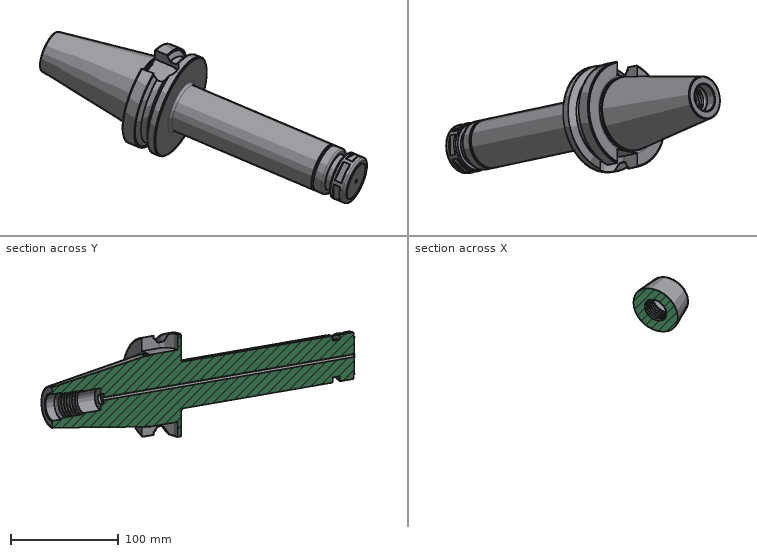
import cadquery as cq


gauge_x = 101.5
gauge_radius = 35.0
taper_ratio = 7 / 24
taper_end_radius = gauge_radius - gauge_x * taper_ratio / 2
taper_chamfer = 0.5
relief_start = 102.3
relief_radius = 34.3
undercut_start = 103.5
undercut_radius = 37.3
undercut_depth = 0.5

flange_radius = 50.0
flange_start = 104.5
flange_end = 140.0
flange_chamfer = 1.0
groove_start = 117.5
groove_end = 132.0
groove_floor_start = 121.2
groove_floor_end = 127.8
groove_floor_radius = 42.8
groove_shoulder_radius = 48.0
groove_floor_rise = 0.5

keyway_width = 25.8
keyway_end = 135.5
keyway_floor = 35.3

shank_radius = 46.0 / 2
shank_end = 303.5
shank_root_fillet = 2.5
shank_end_fillet = 2.0
ring_start = 291.5
ring_width = 2.0
ring_depth = 0.3

neck_radius = 36 / 2
nut_start = 310.5
nut_face = 326.0
nut_chamfer = 1.3
nut_fillet = 2.0
total_length = 326.8
flat_count = 6
flat_start = 314.5
flat_end = 321.2
flat_distance = 21.0

pilot_radius = 25.5 / 2
pilot_depth = 10.0
pilot_chamfer = 0.5
thread_start = 11.5
thread_radius = 24.0 / 2
thread_core_radius = 21.0 / 2
thread_pitch = 3.0
thread_count = 8
bore_depth = 52.3
coolant_recess_radius = 9.0 / 2
coolant_recess_depth = 3.3
coolant_radius = 2.5 / 2


def make_body():
    """Turned outline of taper, flange, shank, neck and nut."""
    profile = (
        cq.Workplane("XY")
        .moveTo(0, 0)
        .lineTo(0, taper_end_radius - taper_chamfer)
        .lineTo(taper_chamfer, taper_end_radius)
        .lineTo(gauge_x, gauge_radius)
        .lineTo(relief_start, relief_radius)
        .lineTo(undercut_start, relief_radius)
        .lineTo(flange_start + undercut_depth, gauge_radius)
        .lineTo(flange_start, undercut_radius)
        .lineTo(flange_start, flange_radius - flange_chamfer)
        .lineTo(flange_start + flange_chamfer, flange_radius)
        .lineTo(groove_start, flange_radius)
        .lineTo(groove_start, groove_shoulder_radius)
        .lineTo(groove_floor_start, groove_floor_radius + groove_floor_rise)
        .threePointArc(
            ((groove_floor_start + groove_floor_end) / 2, groove_floor_radius),
            (groove_floor_end, groove_floor_radius + groove_floor_rise),
        )
        .lineTo(groove_end, flange_radius)
        .lineTo(flange_end - flange_chamfer, flange_radius)
        .lineTo(flange_end, flange_radius - flange_chamfer)
        .lineTo(flange_end, shank_radius + shank_root_fillet)
        .radiusArc((flange_end + shank_root_fillet, shank_radius), -shank_root_fillet)
        .lineTo(ring_start, shank_radius)
        .lineTo(ring_start, shank_radius - ring_depth)
        .lineTo(ring_start + ring_width, shank_radius - ring_depth)
        .lineTo(ring_start + ring_width, shank_radius)
        .lineTo(shank_end - shank_end_fillet, shank_radius)
        .radiusArc((shank_end, shank_radius - shank_end_fillet), shank_end_fillet)
        .lineTo(shank_end, neck_radius)
        .lineTo(nut_start, neck_radius)
        .lineTo(nut_start, shank_radius - nut_chamfer)
        .lineTo(nut_start + nut_chamfer, shank_radius)
        .lineTo(nut_face - nut_fillet, shank_radius)
        .radiusArc((nut_face, shank_radius - nut_fillet), nut_fillet)
        .lineTo(nut_face, neck_radius)
        .lineTo(total_length, neck_radius)
        .lineTo(total_length, 0)
        .close()
    )
    return profile.revolve(360, (0, 0, 0), (1, 0, 0))


def make_keyway():
    """Round-ended drive slot on the +Z side, open towards the taper."""
    end_center = keyway_end - keyway_width / 2
    height = flange_radius - keyway_floor
    slot = (
        cq.Workplane("XY")
        .box(end_center - gauge_x, keyway_width, height, centered=(False, True, False))
        .translate((gauge_x, 0, keyway_floor))
    )
    round_end = (
        cq.Workplane("XY", origin=(end_center, 0, keyway_floor))
        .circle(keyway_width / 2)
        .extrude(height)
    )
    return slot.union(round_end)


def make_nut_flat():
    """Wrench flat on the -Y side of the nut."""
    return (
        cq.Workplane("XY")
        .box(flat_end - flat_start, shank_radius, 2 * shank_radius, centered=(False, False, True))
        .translate((flat_start, -flat_distance - shank_radius, 0))
    )


def bore(radius, start, depth):
    """Round cut on the axis, running in +X."""
    return cq.Workplane("YZ", origin=(start, 0, 0)).circle(radius).extrude(depth)


def make_drawbar_bore():
    """Chamfered pilot, thread as separate V-shaped rings, and coolant hole."""
    profile = (
        cq.Workplane("XY")
        .moveTo(0, 0)
        .lineTo(0, pilot_radius + pilot_chamfer)
        .lineTo(pilot_chamfer, pilot_radius)
        .lineTo(pilot_depth, pilot_radius)
    )
    for i in range(thread_count):
        root_x = thread_start + i * thread_pitch
        profile = profile.lineTo(root_x, thread_radius)
        profile = profile.lineTo(root_x + thread_pitch / 2, thread_core_radius)
    threaded_bore = (
        profile
        .lineTo(bore_depth, thread_core_radius)
        .lineTo(bore_depth, 0)
        .close()
        .revolve(360, (0, 0, 0), (1, 0, 0))
    )
    recess = bore(coolant_recess_radius, bore_depth, coolant_recess_depth)
    coolant_hole = bore(coolant_radius, bore_depth, total_length - bore_depth)
    return threaded_bore.union(recess).union(coolant_hole)


result = make_body()
for angle in (0, 180):
    result = result.cut(make_keyway().rotate((0, 0, 0), (1, 0, 0), angle))
for i in range(flat_count):
    result = result.cut(make_nut_flat().rotate((0, 0, 0), (1, 0, 0), i * 360 / flat_count))
result = result.cut(make_drawbar_bore())